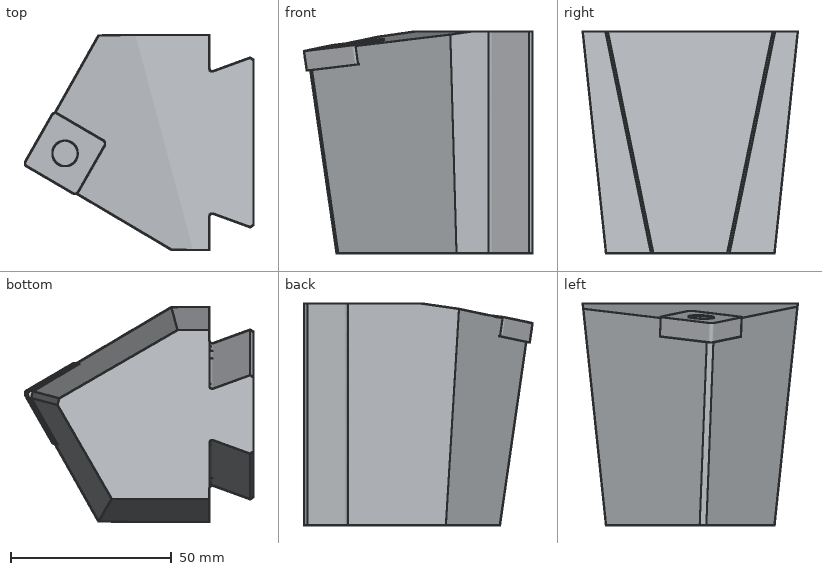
import cadquery as cq
import math

height = 69.0
top_width = 67.0
draft = 6.0
nose_bearing = 15.0
nose_x = -57.9
nose_y = -6.9
nose_chamfer_width = 2.1
crease_at_centre_x = -14.0

dovetail_depth = 13.75
dovetail_root_width = 43.55
dovetail_angle = 20.0
root_radius = 0.85
tip_chamfer = 1.15
flank_lean = 11.6

insert_size = 19.1
insert_thickness = 6.1
insert_radius = 1.15
insert_overhang = 0.6
insert_rise = 0.35
recess_diameter = 8.0
recess_depth = 0.35

draft_slope = math.tan(math.radians(draft))
base_root_width = dovetail_root_width - 2 * height * math.tan(math.radians(flank_lean))
bearing = math.radians(nose_bearing)
inward_x = math.cos(bearing)
inward_y = math.sin(bearing)
nose_slope = math.sqrt(2) * draft_slope
nose_tilt = math.atan(nose_slope)


def nose_frame():
    """Frame on the sloped top at the sharp nose edge: X inward and uphill, Z out of the slope."""
    crease_distance = (crease_at_centre_x - nose_x) * inward_x - nose_y * inward_y
    drop = nose_slope * crease_distance / (1 + nose_slope**2)
    inset = nose_slope * drop
    origin = (nose_x + inset * inward_x, nose_y + inset * inward_y, height - drop)
    cos_tilt = math.cos(nose_tilt)
    sin_tilt = math.sin(nose_tilt)
    uphill = (inward_x * cos_tilt, inward_y * cos_tilt, sin_tilt)
    normal = (-inward_x * sin_tilt, -inward_y * sin_tilt, cos_tilt)
    return cq.Plane(origin=origin, xDir=uphill, normal=normal)


def make_tapered_block():
    """Block with drafted walls, a flat on its nose edge and a plain shoulder at X = 0."""
    half_width = top_width / 2
    left_run = (half_width - nose_y) / math.tan(bearing + math.pi / 4)
    front_run = (half_width + nose_y) / math.tan(math.pi / 4 - bearing)
    rear_x = 2 * height * draft_slope
    block = (
        cq.Workplane("XY", origin=(0, 0, height))
        .polyline([
            (nose_x, nose_y),
            (nose_x + front_run, -half_width),
            (rear_x, -half_width),
            (rear_x, half_width),
            (nose_x + left_run, half_width),
        ])
        .close()
        .extrude(-height, taper=draft)
    )
    nose_edge = cq.selectors.NearestToPointSelector((
        nose_x + nose_slope * height / 2 * inward_x,
        nose_y + nose_slope * height / 2 * inward_y,
        height / 2,
    ))
    block = block.edges(nose_edge).chamfer(nose_chamfer_width / math.sqrt(2))
    behind_shoulder = cq.Workplane("XY").box(
        top_width, 2 * top_width, height, centered=(False, True, False)
    )
    return block.cut(behind_shoulder)


def dovetail_outline(root_width):
    """Points of the flared tail, its two tips chamfered."""
    flank = math.radians(dovetail_angle)
    root = root_width / 2
    tip = root + dovetail_depth * math.tan(flank)
    flank_end_x = dovetail_depth - tip_chamfer * math.cos(flank)
    flank_end_y = tip - tip_chamfer * math.sin(flank)
    back_end_y = tip - tip_chamfer
    return [
        (0, -root),
        (flank_end_x, -flank_end_y),
        (dovetail_depth, -back_end_y),
        (dovetail_depth, back_end_y),
        (flank_end_x, flank_end_y),
        (0, root),
    ]


def make_dovetail():
    return (
        cq.Workplane("XY")
        .polyline(dovetail_outline(base_root_width))
        .close()
        .workplane(offset=height)
        .polyline(dovetail_outline(dovetail_root_width))
        .close()
        .loft(ruled=True)
    )


def round_dovetail_roots(body):
    """Fillet the two corners between the shoulder and the flanks."""
    middle_y = (base_root_width + dovetail_root_width) / 4
    for side in (-1, 1):
        root_edge = cq.selectors.NearestToPointSelector((0, side * middle_y, height / 2))
        body = body.edges(root_edge).fillet(root_radius)
    return body


def insert_face():
    """Workplane centred on the insert's top face."""
    centre = insert_size / math.sqrt(2) - math.sqrt(2) * insert_overhang
    return cq.Workplane(nose_frame()).workplane(offset=insert_rise).center(centre, 0)


def make_insert_blank():
    """Filleted square plate, one corner over the nose."""
    side_edges = cq.selectors.ParallelDirSelector(nose_frame().zDir)
    return (
        insert_face()
        .transformed(rotate=(0, 0, 45))
        .rect(insert_size, insert_size)
        .extrude(-insert_thickness)
        .edges(side_edges)
        .fillet(insert_radius)
    )


def make_insert_recess():
    return insert_face().circle(recess_diameter / 2).extrude(-recess_depth)


def make_slope_cutter():
    """Everything above the sloped top."""
    return (
        cq.Workplane(nose_frame())
        .rect(4 * height, 4 * height)
        .extrude(height)
    )


insert_blank = make_insert_blank()

holder = make_tapered_block().union(make_dovetail())
holder = round_dovetail_roots(holder)
holder = holder.cut(make_slope_cutter()).cut(insert_blank)

insert = insert_blank.cut(make_insert_recess())

result = cq.Compound.makeCompound([holder.solids().val(), insert.solids().val()])